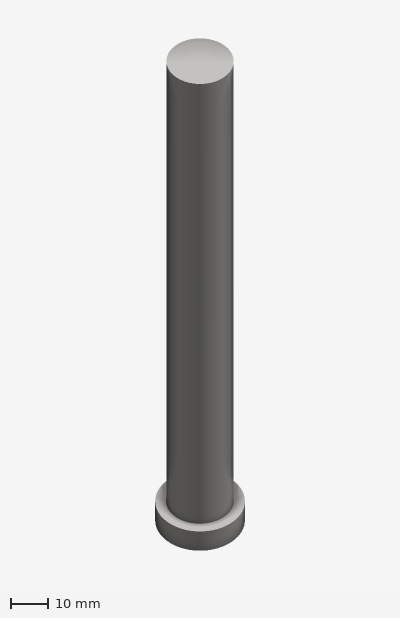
import cadquery as cq

head_diameter = 24.0
head_height = 7.0
shank_diameter = 18.0
overall_length = 167.0
root_fillet_radius = 0.2

head_radius = head_diameter / 2
shank_radius = shank_diameter / 2


def make_pin():
    """Revolve the half section about Z, with a concave fillet where the shank meets the head."""
    fillet_top = head_height + root_fillet_radius
    fillet_outer = shank_radius + root_fillet_radius
    half_section = (
        cq.Workplane("XZ")
        .lineTo(head_radius, 0)
        .lineTo(head_radius, head_height)
        .lineTo(fillet_outer, head_height)
        .radiusArc((shank_radius, fillet_top), root_fillet_radius)
        .lineTo(shank_radius, overall_length)
        .lineTo(0, overall_length)
        .close()
    )
    return half_section.revolve(360, (0, 0, 0), (0, 1, 0))


result = make_pin()